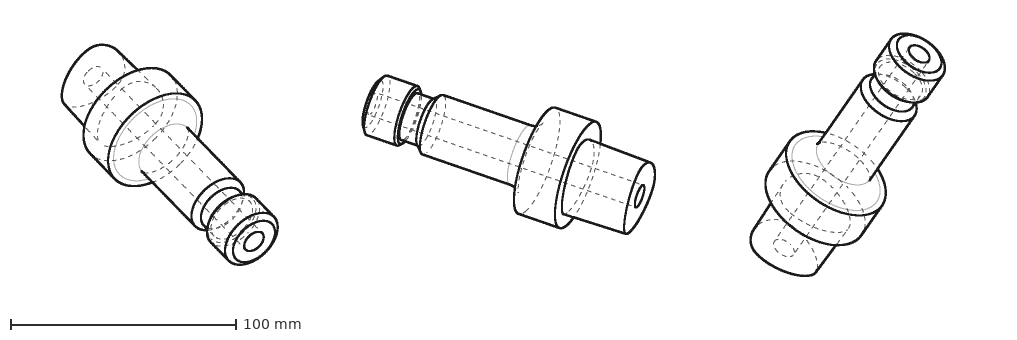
import cadquery as cq
import math

total_length = 130.0
collar_start = 30.0
collar_end = 50.0
groove_shoulder = 100.8
groove_start = 103.9
groove_end = 112.0

head_chamfer = 1.2
end_chamfer_length = 2.1

collar_diameter = 50.0
shank_radius = 14.0
groove_radius = 11.0
end_face_radius = 11.2
root_fillet_radius = 8.0
bore_radius = 5.2

lobe_base_radius = 17.5
lobe_taper = 1 / 40
lobe_eccentricity = 1.1
lobe_count = 3
lobe_curve_points = 36


def lobe_outline(x, mean_radius):
    """Closed constant-width lobed curve in the plane at x, from its support function."""
    points = []
    for index in range(lobe_curve_points):
        angle = 2 * math.pi * index / lobe_curve_points
        support = mean_radius + lobe_eccentricity * math.cos(lobe_count * angle)
        slope = -lobe_count * lobe_eccentricity * math.sin(lobe_count * angle)
        y = support * math.sin(angle) + slope * math.cos(angle)
        z = support * math.cos(angle) - slope * math.sin(angle)
        points.append(cq.Vector(x, y, z))
    return cq.Wire.assembleEdges([cq.Edge.makeSpline(points, periodic=True)])


def lobed_taper():
    """Taper that widens from its free end to the collar."""
    lobe_tip_radius = lobe_base_radius - collar_start * lobe_taper
    tip = lobe_outline(0, lobe_tip_radius)
    base = lobe_outline(collar_start, lobe_base_radius)
    return cq.Workplane(cq.Solid.makeLoft([tip, base]))


def turned_body():
    """Collar, filleted shank, groove and chamfered head, revolved about X."""
    collar_radius = collar_diameter / 2
    fillet_end = collar_end + root_fillet_radius
    fillet_center_radius = shank_radius + root_fillet_radius
    fillet_offset = root_fillet_radius * (1 - math.sqrt(0.5))
    return (
        cq.Workplane("XY")
        .moveTo(collar_start, 0)
        .lineTo(collar_start, collar_radius)
        .lineTo(collar_end, collar_radius)
        .lineTo(collar_end, fillet_center_radius)
        .threePointArc(
            (collar_end + fillet_offset, shank_radius + fillet_offset),
            (fillet_end, shank_radius),
        )
        .lineTo(groove_shoulder, shank_radius)
        .lineTo(groove_start, groove_radius)
        .lineTo(groove_end, groove_radius)
        .lineTo(groove_end, shank_radius - head_chamfer)
        .lineTo(groove_end + head_chamfer, shank_radius)
        .lineTo(total_length - end_chamfer_length, shank_radius)
        .lineTo(total_length, end_face_radius)
        .lineTo(total_length, 0)
        .close()
        .revolve(360, (0, 0, 0), (1, 0, 0))
    )


def through_bore():
    """Round bore along the whole axis."""
    return cq.Workplane("YZ").circle(bore_radius).extrude(total_length)


result = turned_body().union(lobed_taper()).cut(through_bore())